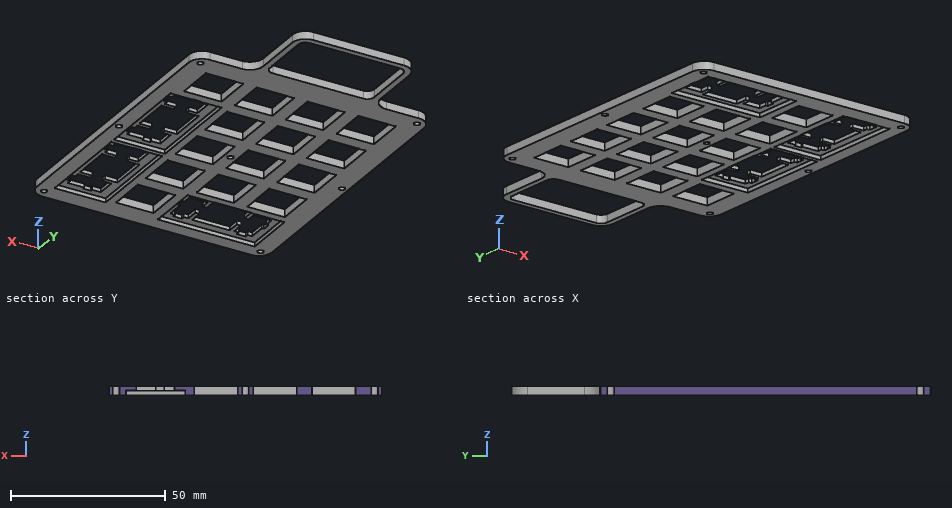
import cadquery as cq


total_length = 135.8
plate_width = 88.2
thickness = 3.0
corner_radius = 5.0

columns = 4
rows = 5
grid_margins = 12.1
key_pitch = (plate_width - grid_margins) / columns
plate_length = rows * key_pitch + grid_margins
switch_size = 14.0

handle_width = 44.0
handle_length = total_length - plate_length
handle_wall = 2.5
window_radius = corner_radius - handle_wall

screw_diameter = 2.0
corner_screw_inset = 3.5
side_screw_inset = 2.3

stabiliser_spacing = 23.9
housing_width = 6.7
housing_top = 5.5
housing_bottom = -6.8
clip_notch_width = 3.3
clip_notch_bottom = -8.0
wire_slot_top = 2.3
wire_slot_bottom = -wire_slot_top
side_notch_bottom = -0.5
side_notch_depth = 0.8

lip_thickness = 1.5
recess_clearance = 2.0

wide_keys = [
    (3, 1.5, 90),
    (3, 3.5, 90),
    (0.5, 4, 0),
]
last_column = columns - 1
single_keys = [(column, row) for column in range(last_column) for row in range(rows - 1)]
single_keys += [(last_column, 0), (last_column - 1, rows - 1)]


def key_position(column, row):
    """Centre of a key place in the grid."""
    x = (column - (columns - 1) / 2) * key_pitch
    y = ((rows - 1) / 2 - row) * key_pitch
    return (x, y)


def box_between(left, right, bottom, top, height=thickness):
    """Rectangular block standing on the lower face, full thickness by default."""
    return (
        cq.Workplane("XY")
        .center((left + right) / 2, (bottom + top) / 2)
        .rect(right - left, top - bottom)
        .extrude(height)
    )


def make_body():
    """Plate and handle outline with rounded outer and inner corners."""
    half_width = plate_width / 2
    half_handle = handle_width / 2
    bottom = -plate_length / 2
    shoulder = plate_length / 2
    handle_end = shoulder + handle_length
    outline = [
        (-half_width, bottom),
        (half_width, bottom),
        (half_width, shoulder),
        (half_handle, shoulder),
        (half_handle, handle_end),
        (-half_handle, handle_end),
        (-half_handle, shoulder),
        (-half_width, shoulder),
    ]
    body = cq.Workplane("XY").polyline(outline).close().extrude(thickness)
    return body.edges("|Z").fillet(corner_radius)


def make_handle_window():
    """Rounded opening, one wall thickness inside the handle on every side."""
    half_window = handle_width / 2 - handle_wall
    window_bottom = plate_length / 2 + handle_wall
    window_top = plate_length / 2 + handle_length - handle_wall
    window = box_between(-half_window, half_window, window_bottom, window_top)
    return window.edges("|Z").fillet(window_radius)


def make_wide_key_cutout():
    """Switch opening joined to two stabiliser housings, with the recess below them."""
    half_switch = switch_size / 2
    housing_centre = stabiliser_spacing / 2
    half_housing = housing_width / 2
    half_clip = clip_notch_width / 2
    outer_edge = housing_centre + half_housing + side_notch_depth

    cutout = box_between(-half_switch, half_switch, -half_switch, half_switch)
    cutout = cutout.union(
        box_between(-housing_centre, housing_centre, wire_slot_bottom, wire_slot_top)
    )
    cutout = cutout.union(
        box_between(-outer_edge, outer_edge, side_notch_bottom, wire_slot_top)
    )
    for x in (-housing_centre, housing_centre):
        cutout = cutout.union(
            box_between(x - half_housing, x + half_housing, housing_bottom, housing_top)
        )
        cutout = cutout.union(
            box_between(x - half_clip, x + half_clip, clip_notch_bottom, housing_top)
        )

    recess_half_width = outer_edge + recess_clearance
    recess = box_between(
        -recess_half_width,
        recess_half_width,
        clip_notch_bottom - recess_clearance,
        half_switch + recess_clearance,
        thickness - lip_thickness,
    )
    return cutout.union(recess)


def screw_positions():
    """Four corners, the middle of both long sides and the plate centre."""
    corner_x = plate_width / 2 - corner_screw_inset
    corner_y = plate_length / 2 - corner_screw_inset
    side_x = plate_width / 2 - side_screw_inset
    corners = [(x, y) for x in (-corner_x, corner_x) for y in (-corner_y, corner_y)]
    return corners + [(-side_x, 0), (side_x, 0), (0, 0)]


result = make_body().cut(make_handle_window())

switch_openings = (
    cq.Workplane("XY")
    .pushPoints([key_position(column, row) for column, row in single_keys])
    .rect(switch_size, switch_size)
    .extrude(thickness)
)
result = result.cut(switch_openings)

wide_key_cutout = make_wide_key_cutout()
for column, row, turn in wide_keys:
    x, y = key_position(column, row)
    turned_cutout = wide_key_cutout.rotate((0, 0, 0), (0, 0, 1), turn)
    result = result.cut(turned_cutout.translate((x, y, 0)))

screw_holes = (
    cq.Workplane("XY")
    .pushPoints(screw_positions())
    .circle(screw_diameter / 2)
    .extrude(thickness)
)
result = result.cut(screw_holes)